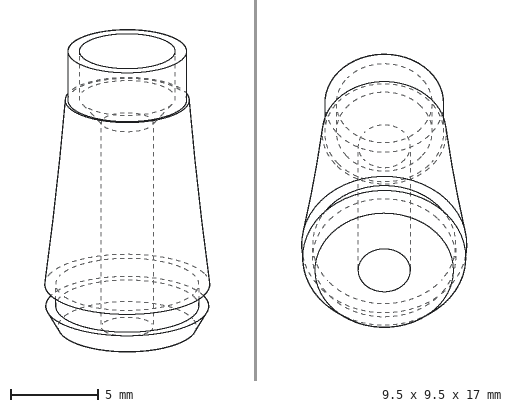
import cadquery as cq

total_height = 17.0
flange_height = 1.28
groove_top = 2.62
body_top = 13.99

flange_base_radius = 3.98
flange_rim_radius = 4.7
groove_radius = 4.11
body_base_radius = 9.5 / 2
body_mid_radius = 4.1
body_top_radius = 3.57
collar_radius = 3.42

socket_radius = 2.75
socket_depth = 2.89
hole_radius = 1.5
seat_depth = 1.5

socket_floor = total_height - socket_depth
seat_bottom = socket_floor - seat_depth
body_middle = (groove_top + body_top) / 2

result = (
    cq.Workplane("XZ")
    .moveTo(hole_radius, 0)
    .lineTo(flange_base_radius, 0)
    .lineTo(flange_rim_radius, flange_height)
    .lineTo(groove_radius, flange_height)
    .lineTo(groove_radius, groove_top)
    .lineTo(body_base_radius, groove_top)
    .threePointArc((body_mid_radius, body_middle), (body_top_radius, body_top))
    .lineTo(collar_radius, body_top)
    .lineTo(collar_radius, total_height)
    .lineTo(socket_radius, total_height)
    .lineTo(socket_radius, socket_floor)
    .lineTo(hole_radius, seat_bottom)
    .close()
    .revolve(360, (0, 0, 0), (0, 1, 0))
)